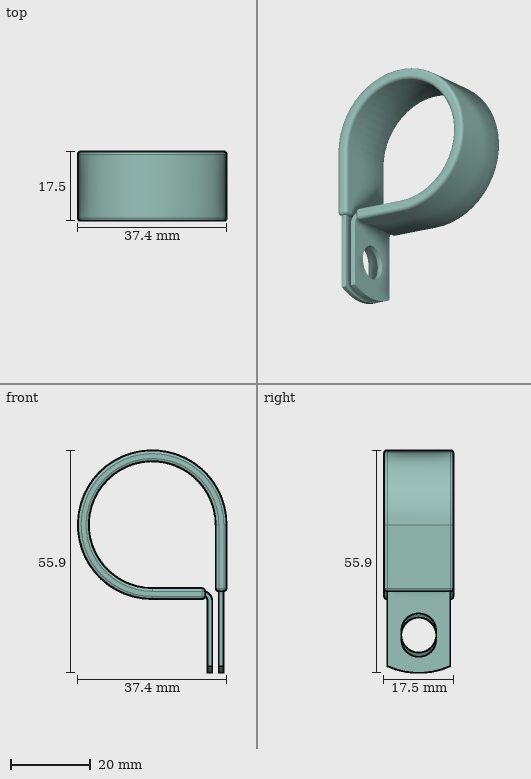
import cadquery as cq
import math


tube_radius = 15.875
cushion_wall = 0.79375
strap_thickness = 1.2192
strap_width = 15.875
upright_cushion_length = 16.66875
foot_cushion_length = 13.25
edge_round = 0.78
leg_gap = 2 * cushion_wall
bend_inner_radius = strap_thickness
bolt_hole_diameter = 8.73
outer_leg_slot_length = 10.9
hole_to_tip = 9.525
tip_radius = 19.05
leg_tip_z = -37.22

cushion_thickness = strap_thickness + 2 * cushion_wall
cushion_outer_radius = tube_radius + cushion_thickness
cushion_width = strap_width + 2 * cushion_wall
strap_inner_radius = tube_radius + cushion_wall
strap_outer_radius = strap_inner_radius + strap_thickness
bend_outer_radius = bend_inner_radius + strap_thickness
inner_leg_outer_x = strap_inner_radius - leg_gap
inner_leg_inner_x = inner_leg_outer_x - strap_thickness
bend_start_x = inner_leg_outer_x - bend_outer_radius
bolt_hole_z = leg_tip_z + hole_to_tip
bend_end_z = -strap_inner_radius - bend_outer_radius


def make_cushion():
    """Rubber band: three quarters of a ring with a straight run at each end, all edges rounded."""
    diagonal = math.sqrt(0.5)
    outer_mid = cushion_outer_radius * diagonal
    inner_mid = tube_radius * diagonal
    band = (
        cq.Workplane("XZ")
        .moveTo(cushion_outer_radius, -upright_cushion_length)
        .lineTo(cushion_outer_radius, 0)
        .threePointArc((-outer_mid, outer_mid), (0, -cushion_outer_radius))
        .lineTo(foot_cushion_length, -cushion_outer_radius)
        .lineTo(foot_cushion_length, -tube_radius)
        .lineTo(0, -tube_radius)
        .threePointArc((-inner_mid, inner_mid), (tube_radius, 0))
        .lineTo(tube_radius, -upright_cushion_length)
        .close()
        .extrude(cushion_width / 2, both=True)
    )
    side_edges = band.faces("<Y or >Y").edges()
    upright_end_edges = band.faces(cq.selectors.NearestToPointSelector(
        ((tube_radius + cushion_outer_radius) / 2, 0, -upright_cushion_length))).edges()
    foot_end_edges = band.faces(cq.selectors.NearestToPointSelector(
        (foot_cushion_length, 0, -(tube_radius + cushion_outer_radius) / 2))).edges()
    return side_edges.add(upright_end_edges).add(foot_end_edges).fillet(edge_round)


def make_outer_leg():
    """Straight strap leg that leaves the cushion on the +X side."""
    return (
        cq.Workplane("XZ")
        .moveTo(strap_inner_radius, 0)
        .lineTo(strap_outer_radius, 0)
        .lineTo(strap_outer_radius, leg_tip_z)
        .lineTo(strap_inner_radius, leg_tip_z)
        .close()
        .extrude(strap_width / 2, both=True)
    )


def make_inner_leg():
    """Strap leg that leaves the bottom run of the cushion and bends down."""
    return (
        cq.Workplane("XZ")
        .moveTo(0, -strap_inner_radius)
        .lineTo(bend_start_x, -strap_inner_radius)
        .radiusArc((inner_leg_outer_x, bend_end_z), bend_outer_radius)
        .lineTo(inner_leg_outer_x, leg_tip_z)
        .lineTo(inner_leg_inner_x, leg_tip_z)
        .lineTo(inner_leg_inner_x, bend_end_z)
        .radiusArc((bend_start_x, -strap_outer_radius), -bend_inner_radius)
        .lineTo(0, -strap_outer_radius)
        .close()
        .extrude(strap_width / 2, both=True)
    )


def make_leg_outline():
    """Block along X with the leg outline: straight sides and a rounded lower end."""
    half_width = strap_width / 2
    tip_sagitta = tip_radius - math.sqrt(tip_radius**2 - half_width**2)
    corner_z = leg_tip_z + tip_sagitta
    return (
        cq.Workplane("YZ")
        .moveTo(-half_width, 0)
        .lineTo(-half_width, corner_z)
        .threePointArc((0, leg_tip_z), (half_width, corner_z))
        .lineTo(half_width, 0)
        .close()
        .extrude(cushion_outer_radius)
    )


def make_bolt_hole():
    """Cutter along X for the round bolt hole in the inner leg."""
    return (
        cq.Workplane("YZ")
        .center(0, bolt_hole_z)
        .circle(bolt_hole_diameter / 2)
        .extrude(cushion_outer_radius)
    )


def make_bolt_slot():
    """Cutter along X for the vertical adjustment slot in the outer leg."""
    return (
        cq.Workplane("YZ")
        .center(0, bolt_hole_z)
        .slot2D(outer_leg_slot_length, bolt_hole_diameter, 90)
        .extrude(cushion_outer_radius)
    )


leg_outline = make_leg_outline()
outer_leg = make_outer_leg().intersect(leg_outline).cut(make_bolt_slot())
inner_leg = make_inner_leg().intersect(leg_outline).cut(make_bolt_hole())
result = make_cushion().union(outer_leg).union(inner_leg)